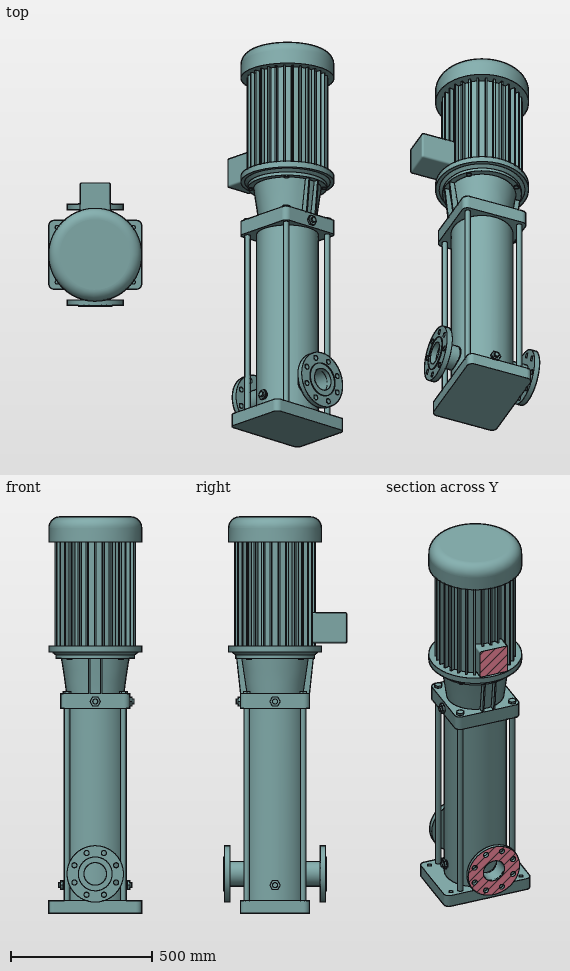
import cadquery as cq
import math

TOTAL_HEIGHT = 1406.0
BASE_HEIGHT = 45.0
PORT_AXIS_Z = 140.0
DRAIN_PLUG_Z = 100.0
HEAD_BOTTOM_Z = 727.0
HEAD_PLUG_Z = 751.0
HEAD_TOP_Z = 779.0
LANTERN_TOP_Z = 904.0
RING_CONE_BOTTOM_Z = 916.0
FLANGE_BOTTOM_Z = 926.0
FLANGE_TOP_Z = 948.0
CAP_HEIGHT = 90.0
CAP_BOTTOM_Z = TOTAL_HEIGHT - CAP_HEIGHT

BASE_LENGTH = 330.0
PLATE_SIDE = 245.0
PLATE_CORNER_RADIUS = 20.0
BASE_HOLE_DIAMETER = 14.0
BASE_HOLE_DEPTH = 25.0
BASE_HOLE_X = 135.0
BASE_HOLE_Y = 97.0

TUBE_DIAMETER = 220.0
ROD_DIAMETER = 20.0
ROD_OFFSET = 100.0
ROD_NUT_ACROSS_CORNERS = 28.0
ROD_NUT_HEIGHT = 8.0

PORT_FACE_Y = 182.5
PORT_RAISED_HEIGHT = 3.0
PORT_RAISED_DIAMETER = 120.0
PORT_FLANGE_DIAMETER = 200.0
PORT_FLANGE_THICKNESS = 20.0
PORT_PIPE_DIAMETER = 88.0
PORT_BORE_DIAMETER = 80.0
PORT_BOLT_CIRCLE = 160.0
PORT_BOLT_DIAMETER = 18.0
PORT_BOLT_COUNT = 8

PLUG_HEX_ACROSS_FLATS = 32.0
PLUG_HEX_LENGTH = 8.0
PLUG_HEAD_DIAMETER = 18.0
PLUG_HEAD_LENGTH = 7.0
DRAIN_BOSS_DIAMETER = 25.0
DRAIN_BOSS_LENGTH = 5.0

LANTERN_BOTTOM_RADIUS = 102.0
LANTERN_TOP_RADIUS = 120.0
RIB_OFFSET = 21.0
RIB_THICKNESS = 5.0
RIB_TOP_Y = 136.0
RIB_BOTTOM_Y = PLATE_SIDE / 2
FLANGE_BOLT_CIRCLE = 260.0
FLANGE_BOLT_DIAMETER = 18.0
FLANGE_BOLT_HEIGHT = 4.0

MOTOR_DIAMETER = 330.0
RING_DIAMETER = 280.0
RING_CONE_DIAMETER = 304.0
CAP_ROUNDING = 40.0
FIN_ROOT_DIAMETER = 254.0
FIN_TIP_DIAMETER = 287.0
FIN_ROOT_OVERLAP = 10.0
FIN_COUNT = 30
FIN_THICKNESS = 6.0

BOX_SIDE = 108.0
BOX_FACE_Y = 255.0
BOX_BOTTOM_Z = 958.0
BOX_ROUNDING = 7.0


def cylinder(diameter, bottom_z, top_z):
    return cq.Workplane("XY").workplane(offset=bottom_z).circle(diameter / 2).extrude(top_z - bottom_z)


def plate(length, bottom_z, top_z):
    """Rectangular plate centred on the pump axis with rounded vertical corners."""
    block = cq.Workplane("XY").workplane(offset=bottom_z).rect(length, PLATE_SIDE).extrude(top_z - bottom_z)
    return block.edges("|Z").fillet(PLATE_CORNER_RADIUS)


def make_base():
    """Base plate with four blind bolt holes drilled from the top."""
    holes = (
        cq.Workplane("XY")
        .workplane(offset=BASE_HEIGHT - BASE_HOLE_DEPTH)
        .rect(2 * BASE_HOLE_X, 2 * BASE_HOLE_Y, forConstruction=True)
        .vertices()
        .circle(BASE_HOLE_DIAMETER / 2)
        .extrude(BASE_HOLE_DEPTH)
    )
    return plate(BASE_LENGTH, 0, BASE_HEIGHT).cut(holes)


def at_rod_corners(bottom_z):
    return (
        cq.Workplane("XY")
        .workplane(offset=bottom_z)
        .rect(2 * ROD_OFFSET, 2 * ROD_OFFSET, forConstruction=True)
        .vertices()
    )


def make_tie_rods():
    """Four tie rods from base to head plate, with nuts on top of the head plate."""
    rods = at_rod_corners(BASE_HEIGHT).circle(ROD_DIAMETER / 2).extrude(HEAD_BOTTOM_Z - BASE_HEIGHT)
    nuts = at_rod_corners(HEAD_TOP_Z).polygon(6, ROD_NUT_ACROSS_CORNERS).extrude(ROD_NUT_HEIGHT)
    return rods.union(nuts)


def port_plane(side, distance):
    """Sketch plane facing outward along Y at the given distance from the axis."""
    return cq.Workplane(cq.Plane((0, side * distance, PORT_AXIS_Z), (1, 0, 0), (0, side, 0)))


def make_port(side):
    """Flanged pipe stub from the pump axis outward; the bolt holes straddle the vertical."""
    back_y = PORT_FACE_Y - PORT_RAISED_HEIGHT - PORT_FLANGE_THICKNESS
    pipe = port_plane(side, 0).circle(PORT_PIPE_DIAMETER / 2).extrude(back_y)
    flange = port_plane(side, back_y).circle(PORT_FLANGE_DIAMETER / 2).extrude(PORT_FLANGE_THICKNESS)
    raised_face = port_plane(side, back_y).circle(PORT_RAISED_DIAMETER / 2).extrude(PORT_FACE_Y - back_y)
    bore = port_plane(side, 0).circle(PORT_BORE_DIAMETER / 2).extrude(PORT_FACE_Y)
    bolt_holes = (
        port_plane(side, back_y)
        .polarArray(PORT_BOLT_CIRCLE / 2, 180 / PORT_BOLT_COUNT, 360, PORT_BOLT_COUNT)
        .circle(PORT_BOLT_DIAMETER / 2)
        .extrude(PORT_FLANGE_THICKNESS)
    )
    return pipe.union(flange).union(raised_face).cut(bore).cut(bolt_holes)


def make_plug(direction, seat, z):
    """Screw plug with a hexagon and a round head, pointing horizontally along `direction`."""
    origin = (direction[0] * seat, direction[1] * seat, z)
    across_corners = PLUG_HEX_ACROSS_FLATS / math.cos(math.pi / 6)
    face = cq.Workplane(cq.Plane(origin, (-direction[1], direction[0], 0), direction))
    hexagon = face.polygon(6, across_corners).extrude(PLUG_HEX_LENGTH)
    head = face.circle(PLUG_HEAD_DIAMETER / 2).extrude(PLUG_HEX_LENGTH + PLUG_HEAD_LENGTH)
    return hexagon.union(head)


def make_drain_plug(side):
    """Plug on a short round boss on the +X or -X side of the pump tube."""
    seat = TUBE_DIAMETER / 2 + DRAIN_BOSS_LENGTH
    boss = (
        cq.Workplane("YZ")
        .center(0, DRAIN_PLUG_Z)
        .circle(DRAIN_BOSS_DIAMETER / 2)
        .extrude(side * seat)
    )
    return boss.union(make_plug((side, 0, 0), seat, DRAIN_PLUG_Z))


def make_lantern():
    """Conical lantern between head plate and motor, with paired ribs front and back."""
    cone = (
        cq.Workplane("XZ")
        .moveTo(0, HEAD_TOP_Z)
        .lineTo(LANTERN_BOTTOM_RADIUS, HEAD_TOP_Z)
        .lineTo(LANTERN_TOP_RADIUS, LANTERN_TOP_Z)
        .lineTo(0, LANTERN_TOP_Z)
        .close()
        .revolve(360, (0, 0, 0), (0, 1, 0))
    )
    for rib_x in (-RIB_OFFSET, RIB_OFFSET):
        rib = (
            cq.Workplane("YZ")
            .workplane(offset=rib_x - RIB_THICKNESS / 2)
            .moveTo(-RIB_BOTTOM_Y, HEAD_TOP_Z)
            .lineTo(RIB_BOTTOM_Y, HEAD_TOP_Z)
            .lineTo(RIB_TOP_Y, LANTERN_TOP_Z)
            .lineTo(-RIB_TOP_Y, LANTERN_TOP_Z)
            .close()
            .extrude(RIB_THICKNESS)
        )
        cone = cone.union(rib)
    return cone


def make_motor_flange():
    """Motor flange with a stepped, conical underside and four bolt heads below it."""
    flange = (
        cq.Workplane("XZ")
        .moveTo(0, LANTERN_TOP_Z)
        .lineTo(RING_DIAMETER / 2, LANTERN_TOP_Z)
        .lineTo(RING_DIAMETER / 2, RING_CONE_BOTTOM_Z)
        .lineTo(RING_CONE_DIAMETER / 2, FLANGE_BOTTOM_Z)
        .lineTo(MOTOR_DIAMETER / 2, FLANGE_BOTTOM_Z)
        .lineTo(MOTOR_DIAMETER / 2, FLANGE_TOP_Z)
        .lineTo(0, FLANGE_TOP_Z)
        .close()
        .revolve(360, (0, 0, 0), (0, 1, 0))
    )
    bolts = (
        cq.Workplane("XY")
        .workplane(offset=LANTERN_TOP_Z - FLANGE_BOLT_HEIGHT)
        .polarArray(FLANGE_BOLT_CIRCLE / 2, 45, 360, 4)
        .circle(FLANGE_BOLT_DIAMETER / 2)
        .extrude(FLANGE_BOLT_HEIGHT)
    )
    return flange.union(bolts)


def make_motor_body():
    """Finned motor housing; one fin lies on the -Y axis."""
    body = cylinder(FIN_ROOT_DIAMETER, FLANGE_TOP_Z, CAP_BOTTOM_Z)
    inner_radius = FIN_ROOT_DIAMETER / 2 - FIN_ROOT_OVERLAP
    fin_length = FIN_TIP_DIAMETER / 2 - inner_radius
    fins = (
        cq.Workplane("XY")
        .workplane(offset=FLANGE_TOP_Z)
        .polarArray(inner_radius + fin_length / 2, -90, 360, FIN_COUNT)
        .rect(fin_length, FIN_THICKNESS)
        .extrude(CAP_BOTTOM_Z - FLANGE_TOP_Z)
    )
    return body.union(fins)


def make_cap():
    return cylinder(MOTOR_DIAMETER, CAP_BOTTOM_Z, TOTAL_HEIGHT).faces(">Z").edges().fillet(CAP_ROUNDING)


def make_terminal_box():
    """Box on the +Y side, rounded along its length and around its outer face."""
    box = cq.Workplane("XY").box(BOX_SIDE, BOX_FACE_Y, BOX_SIDE, centered=(True, False, False))
    box = box.edges("|Y or >Y").fillet(BOX_ROUNDING)
    return box.translate((0, 0, BOX_BOTTOM_Z))


result = make_base()
for outward in (-1, 1):
    result = result.union(make_port(outward))
result = result.union(cylinder(TUBE_DIAMETER, BASE_HEIGHT, HEAD_BOTTOM_Z))
for outward in (-1, 1):
    result = result.union(make_drain_plug(outward))
result = result.union(make_tie_rods())
result = result.union(plate(PLATE_SIDE, HEAD_BOTTOM_Z, HEAD_TOP_Z))
for plug_direction in ((1, 0, 0), (0, -1, 0)):
    result = result.union(make_plug(plug_direction, PLATE_SIDE / 2, HEAD_PLUG_Z))
result = result.union(make_lantern())
result = result.union(make_motor_flange())
result = result.union(make_motor_body())
result = result.union(make_cap())
result = result.union(make_terminal_box())